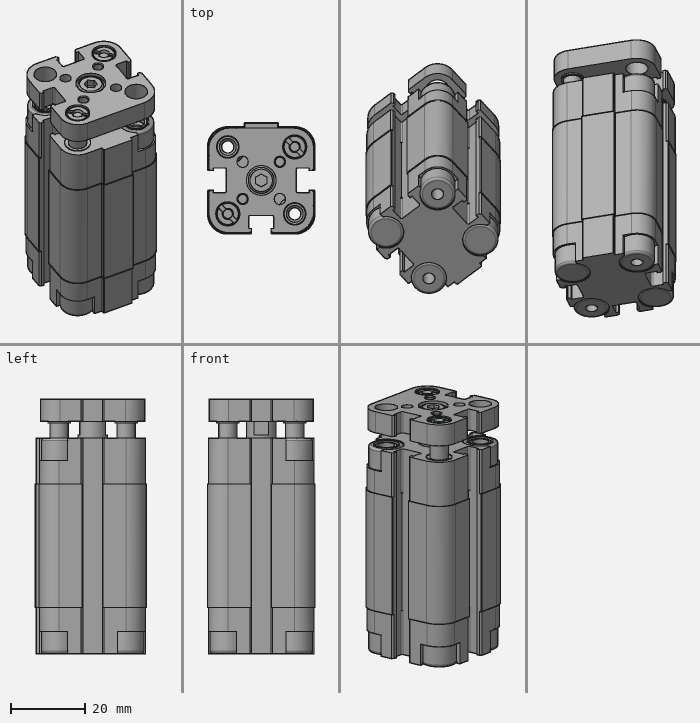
import cadquery as cq
import math


TOTAL_HEIGHT = 68.5
CAP_HEIGHT = 12.4
HOUSING_TOP = 58.0
BARREL_TOP = HOUSING_TOP - CAP_HEIGHT
PLATE_THICKNESS = 5.95
PLATE_BOTTOM = TOTAL_HEIGHT - PLATE_THICKNESS
ROD_BOTTOM = BARREL_TOP

BARREL_HALF = 29.0 / 2
CAP_INSET = 0.24
CAP_HALF = BARREL_HALF - CAP_INSET
PLATE_HALF = 14.05
BARREL_CORNER_RADIUS = 5.5
CAP_CORNER_RADIUS = BARREL_CORNER_RADIUS - CAP_INSET
PLATE_CORNER_RADIUS = CAP_CORNER_RADIUS
CORNER_CENTRE = BARREL_HALF - BARREL_CORNER_RADIUS

SLOT_ANGLES = (0, 90, 270)
SLOT_MOUTH_HALF = 2.6
SLOT_INNER_HALF = 6.65 / 2
SLOT_LIP_INSIDE = 12.9
SLOT_FLOOR = 9.45
SLOT_FLOOR_FILLET = 0.4
END_MOUTH_CHAMFER = 0.5
BARREL_MOUTH_CHAMFER = 0.2

RIB_HALF_WIDTH = 4.65
RIB_TIP = BARREL_HALF + 1.0
RIB_ROOT = BARREL_HALF / 2
RIB_CHAMFER = 0.2

SCREW_HEAD_DIAMETER = 6.0
SCREW_HEAD_CHAMFER = 0.17
SCREW_HEAD_DROP = 0.2
SCREW_SEAT_DEPTH = 0.6

BOSS_RADIUS = 9.5 / 2
BOSS_ROUND = 0.7
NOTCH_HEIGHT = 5.95
NOTCH_WALL = 6.7
BOSS_SEAT_DIAMETER = 7.0
BOSS_BORE_DIAMETER = 4.5
BOSS_BORE_DEPTH = 2.05
BOSS_CONE_DEPTH = 0.7
BOSS_HOLE_DIAMETER = 3.2
BOSS_CORNERS = ((-1, 1), (1, -1))
ROD_CORNERS = ((1, 1), (-1, -1))

GUIDE_DIAMETER = 5.0
GUIDE_COLLAR_DIAMETER = 6.0
GUIDE_COLLAR_HEIGHT = 0.5
BUSHING_DIAMETER = 7.0
BUSHING_RECESS = 0.2
GUIDE_SEAT_DIAMETER = 6.5
DRIVER_SLOT_WIDTH = 1.2
DRIVER_SLOT_DEPTH = 0.7
DRIVER_SLOT_ANGLE = -45
CENTRE_MARK_DEPTH = 0.75

PISTON_ROD_DIAMETER = 8.0
FLATS_ACROSS = 7.0
FLATS_BOTTOM = 58.9
ROD_SEAT_DEPTH = 0.95
ROD_HEAD_DIAMETER = 7.0
ROD_HEAD_CHAMFER = 0.5
ROD_HEAD_DROP = 0.35
HEX_ACROSS_FLATS = 3.0
HEX_DEPTH = 2.05
HEX_ANGLE = 30

ACCESS_HOLE_DIAMETER = 6.0
SMALL_HOLE_OFFSET = 5.0
SMALL_HOLE_DIAMETER = 3.0
THREAD_DIAMETER = 2.5
THREAD_CHAMFER = (SMALL_HOLE_DIAMETER - THREAD_DIAMETER) / 2


def cylinder(x, y, bottom, top, diameter):
    return cq.Workplane("XY", origin=(x, y, bottom)).circle(diameter / 2).extrude(top - bottom)


def cone(x, y, bottom, top, bottom_diameter, top_diameter):
    height = top - bottom
    solid = cq.Solid.makeCone(bottom_diameter / 2, top_diameter / 2, height, cq.Vector(x, y, bottom))
    return cq.Workplane(obj=solid)


def block(x0, x1, y0, y1, z0, z1):
    return cq.Workplane("XY").box(x1 - x0, y1 - y0, z1 - z0, centered=False).translate((x0, y0, z0))


def corner_points(corners, offset):
    return [(sx * offset, sy * offset) for sx, sy in corners]


def t_slot(half, bottom, top, mouth_chamfer, floor_fillet):
    """T-slot cutter in the -Y side, with a chamfered mouth."""
    right_side = [
        (SLOT_INNER_HALF, -SLOT_FLOOR),
        (SLOT_INNER_HALF, -SLOT_LIP_INSIDE),
        (SLOT_MOUTH_HALF, -SLOT_LIP_INSIDE),
        (SLOT_MOUTH_HALF, mouth_chamfer - half),
        (SLOT_MOUTH_HALF + mouth_chamfer, -half),
    ]
    left_side = [(-x, y) for x, y in reversed(right_side)]
    outline = cq.Workplane("XY", origin=(0, 0, bottom)).polyline(right_side + left_side).close()
    slot = outline.extrude(top - bottom)
    if floor_fillet:
        slot = slot.faces(">Y").edges("|Z").fillet(floor_fillet)
    return slot


def slotted_block(half, corner_radius, bottom, top, mouth_chamfer, floor_fillet=0):
    """Square block with rounded corners and T-slots in three sides."""
    body = block(-half, half, -half, half, bottom, top).edges("|Z").fillet(corner_radius)
    for angle in SLOT_ANGLES:
        slot = t_slot(half, bottom, top, mouth_chamfer, floor_fillet)
        body = body.cut(slot.rotate((0, 0, 0), (0, 0, 1), angle))
    return body


def rib(bottom, top, inset):
    """Rib on the +Y side, with its outer long edges chamfered."""
    half_width = RIB_HALF_WIDTH - inset
    strip = block(-half_width, half_width, RIB_ROOT, RIB_TIP - inset, bottom, top)
    return strip.faces(">Y").edges("|Z").chamfer(RIB_CHAMFER)


def end_cap(bottom):
    top = bottom + CAP_HEIGHT
    cap = slotted_block(CAP_HALF, CAP_CORNER_RADIUS, bottom, top, END_MOUTH_CHAMFER, SLOT_FLOOR_FILLET)
    return cap.union(rib(bottom, top, CAP_INSET))


def boss_cutter(sx, sy, end, inward):
    """Cutter that leaves a round-edged boss at one housing corner.

    It joins a notch outside the boss and a groove around its rounded rim. The Z direction from
    the end face into the housing is inward (+1 or -1).
    """
    x = sx * CORNER_CENTRE
    y = sy * CORNER_CENTRE
    depth_z = end + inward * NOTCH_HEIGHT
    bottom, top = sorted((end, depth_z))
    x0, x1 = sorted((sx * NOTCH_WALL, sx * BARREL_HALF))
    y0, y1 = sorted((sy * NOTCH_WALL, sy * BARREL_HALF))
    notch = block(x0, x1, y0, y1, bottom, top).cut(cylinder(x, y, bottom, top, 2 * BOSS_RADIUS))

    round_radius = BOSS_RADIUS - BOSS_ROUND
    diagonal = BOSS_ROUND * math.sqrt(0.5)
    arc_middle = (round_radius + diagonal, inward * (BOSS_ROUND - diagonal))
    arc_end = (BOSS_RADIUS, inward * BOSS_ROUND)
    groove = (
        cq.Workplane("XZ")
        .moveTo(round_radius, 0)
        .threePointArc(arc_middle, arc_end)
        .lineTo(BOSS_RADIUS, 0)
        .close()
        .revolve(360, (0, 0, 0), (0, 1, 0))
        .translate((x, y, end))
    )
    return notch.union(groove)


def sunk_head(body, x, y, surface, seat_diameter, seat_depth, head_diameter, chamfer, drop):
    """Sink a round seat below a flat surface and stand a chamfered head in it, its face lower by drop."""
    seat_floor = surface - seat_depth
    head = cylinder(x, y, seat_floor, surface - drop, head_diameter).faces(">Z").chamfer(chamfer)
    return body.cut(cylinder(x, y, seat_floor, surface, seat_diameter)).union(head)


def screw_head(body, x, y, surface, seat_diameter):
    return sunk_head(body, x, y, surface, seat_diameter, SCREW_SEAT_DEPTH,
                     SCREW_HEAD_DIAMETER, SCREW_HEAD_CHAMFER, SCREW_HEAD_DROP)


def make_housing():
    barrel = slotted_block(BARREL_HALF, BARREL_CORNER_RADIUS, CAP_HEIGHT, BARREL_TOP, BARREL_MOUTH_CHAMFER)
    housing = barrel.union(rib(CAP_HEIGHT, BARREL_TOP, 0))
    for bottom in (0, BARREL_TOP):
        housing = housing.union(end_cap(bottom))

    for sx, sy in BOSS_CORNERS:
        housing = housing.cut(boss_cutter(sx, sy, HOUSING_TOP, -1))
    for sx, sy in BOSS_CORNERS + ROD_CORNERS:
        housing = housing.cut(boss_cutter(sx, sy, 0, 1))

    bore_floor = HOUSING_TOP - BOSS_BORE_DEPTH
    for x, y in corner_points(BOSS_CORNERS, CORNER_CENTRE):
        housing = screw_head(housing, x, y, HOUSING_TOP, BOSS_SEAT_DIAMETER)
        housing = housing.cut(cylinder(x, y, bore_floor, HOUSING_TOP, BOSS_BORE_DIAMETER))
        housing = housing.cut(
            cone(x, y, bore_floor - BOSS_CONE_DEPTH, bore_floor, BOSS_HOLE_DIAMETER, BOSS_BORE_DIAMETER)
        )
        housing = housing.cut(cylinder(x, y, 0, bore_floor, BOSS_HOLE_DIAMETER))

    for x, y in corner_points(ROD_CORNERS, CORNER_CENTRE):
        housing = housing.cut(cylinder(x, y, ROD_BOTTOM, HOUSING_TOP, GUIDE_DIAMETER))
        housing = housing.cut(cylinder(x, y, HOUSING_TOP - BUSHING_RECESS, HOUSING_TOP, BUSHING_DIAMETER))
    return housing.cut(cylinder(0, 0, ROD_BOTTOM, HOUSING_TOP, PISTON_ROD_DIAMETER))


def add_guide_rod(yoke, x, y):
    yoke = yoke.union(cylinder(x, y, ROD_BOTTOM, PLATE_BOTTOM, GUIDE_DIAMETER))
    yoke = yoke.union(cylinder(x, y, PLATE_BOTTOM - GUIDE_COLLAR_HEIGHT, PLATE_BOTTOM, GUIDE_COLLAR_DIAMETER))
    yoke = screw_head(yoke, x, y, TOTAL_HEIGHT, GUIDE_SEAT_DIAMETER)

    face = TOTAL_HEIGHT - SCREW_HEAD_DROP
    driver_slot = (
        cq.Workplane("XY", origin=(x, y, face - DRIVER_SLOT_DEPTH))
        .transformed(rotate=(0, 0, DRIVER_SLOT_ANGLE))
        .rect(SCREW_HEAD_DIAMETER, DRIVER_SLOT_WIDTH)
        .extrude(DRIVER_SLOT_DEPTH)
    )
    centre_mark = cone(x, y, face - CENTRE_MARK_DEPTH, face, THREAD_DIAMETER, SMALL_HOLE_DIAMETER)
    return yoke.cut(driver_slot).cut(centre_mark)


def add_piston_rod(yoke):
    rod = cylinder(0, 0, ROD_BOTTOM, PLATE_BOTTOM, PISTON_ROD_DIAMETER)
    radius = PISTON_ROD_DIAMETER / 2
    for near, far in ((FLATS_ACROSS / 2, radius), (-radius, -FLATS_ACROSS / 2)):
        rod = rod.cut(block(-radius, radius, near, far, FLATS_BOTTOM, PLATE_BOTTOM))
    yoke = yoke.union(rod)
    yoke = sunk_head(yoke, 0, 0, TOTAL_HEIGHT, PISTON_ROD_DIAMETER, ROD_SEAT_DEPTH,
                     ROD_HEAD_DIAMETER, ROD_HEAD_CHAMFER, ROD_HEAD_DROP)

    hex_across_corners = HEX_ACROSS_FLATS / math.cos(math.pi / 6)
    hex_socket = (
        cq.Workplane("XY", origin=(0, 0, TOTAL_HEIGHT - ROD_HEAD_DROP - HEX_DEPTH))
        .transformed(rotate=(0, 0, HEX_ANGLE))
        .polygon(6, hex_across_corners)
        .extrude(HEX_DEPTH)
    )
    return yoke.cut(hex_socket)


def make_yoke():
    yoke = slotted_block(PLATE_HALF, PLATE_CORNER_RADIUS, PLATE_BOTTOM, TOTAL_HEIGHT,
                         END_MOUTH_CHAMFER, SLOT_FLOOR_FILLET)

    for x, y in corner_points(BOSS_CORNERS, CORNER_CENTRE):
        yoke = yoke.cut(cylinder(x, y, PLATE_BOTTOM, TOTAL_HEIGHT, ACCESS_HOLE_DIAMETER))
    for x, y in corner_points(BOSS_CORNERS, SMALL_HOLE_OFFSET):
        yoke = yoke.cut(cylinder(x, y, PLATE_BOTTOM, TOTAL_HEIGHT, SMALL_HOLE_DIAMETER))

    for x, y in corner_points(ROD_CORNERS, SMALL_HOLE_OFFSET):
        yoke = yoke.cut(cylinder(x, y, PLATE_BOTTOM, TOTAL_HEIGHT, THREAD_DIAMETER))
        yoke = yoke.cut(
            cone(x, y, TOTAL_HEIGHT - THREAD_CHAMFER, TOTAL_HEIGHT, THREAD_DIAMETER, SMALL_HOLE_DIAMETER)
        )

    for x, y in corner_points(ROD_CORNERS, CORNER_CENTRE):
        yoke = add_guide_rod(yoke, x, y)
    return add_piston_rod(yoke)


housing = make_housing()
yoke = make_yoke()
result = cq.Compound.makeCompound([housing.val(), yoke.val()])